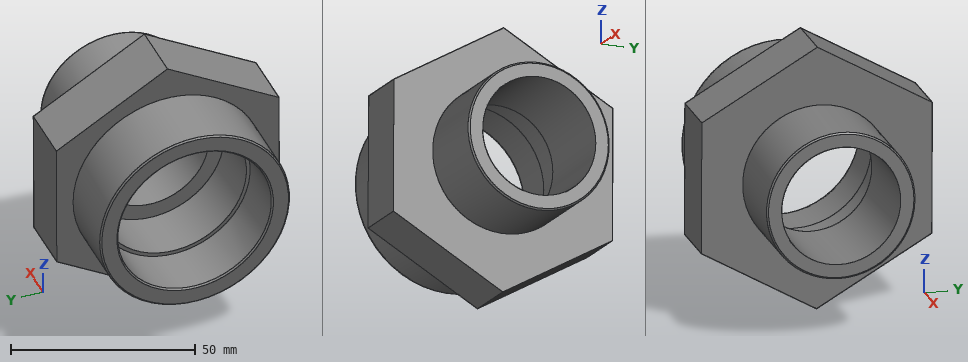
import cadquery as cq

length = 61.0
socket_length = 20.0
hex_width = 17.0
spigot_length = length - socket_length - hex_width

hex_corner_diameter = 75.05
hex_corner_angle = 89.8
socket_diameter = 55.4
spigot_diameter = 41.9
edge_chamfer = 0.45

mouth_diameter = 44.8
mouth_depth = 16.0
chamber_diameter = 42.6
chamber_depth = 32.3
through_diameter = 33.55


def cylinder(start, diameter, depth):
    """Cylinder along +X whose first face lies at X = start."""
    return cq.Workplane("YZ", origin=(start, 0, 0)).circle(diameter / 2).extrude(depth)


socket = cylinder(0, socket_diameter, socket_length).faces("<X").chamfer(edge_chamfer)
hexagon = (
    cq.Workplane("YZ", origin=(socket_length, 0, 0))
    .polygon(6, hex_corner_diameter)
    .extrude(hex_width)
    .rotate((0, 0, 0), (1, 0, 0), hex_corner_angle)
)
spigot = cylinder(socket_length + hex_width, spigot_diameter, spigot_length)
spigot = spigot.faces(">X").chamfer(edge_chamfer)
body = socket.union(hexagon).union(spigot)

mouth_radius = mouth_diameter / 2
mouth_bevel = cq.Workplane("XY").polyline([
    (0, 0),
    (0, mouth_radius + edge_chamfer),
    (edge_chamfer, mouth_radius),
    (edge_chamfer, 0),
]).close().revolve(360, (0, 0, 0), (1, 0, 0))

result = (
    body.cut(cylinder(0, through_diameter, length))
    .cut(cylinder(0, chamber_diameter, chamber_depth))
    .cut(cylinder(0, mouth_diameter, mouth_depth))
    .cut(mouth_bevel)
)